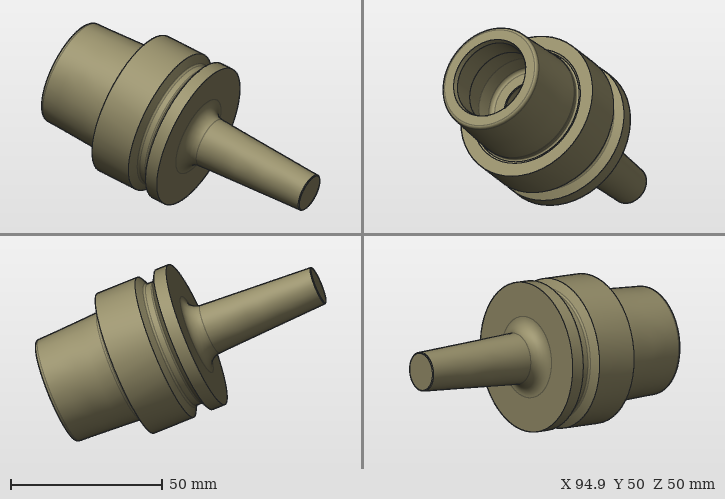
import cadquery as cq
import math

total_length = 94.9

taper_mouth_radius = 18.1
taper_base_radius = 38.4 / 2
taper_end = 23.0
mouth_round = 1.0

neck_radius = 19.1
neck_step_end = 23.6
neck_step_round = 0.6
neck_root_round = 0.7

flange_radius = 50.0 / 2
flange_start = 25.1
flange_end = 50.8

recess_depth = 0.3
recess_mouth_radius = 20.4

groove_floor_radius = 21.7
groove_floor_start = 41.4
groove_floor_end = 44.4
groove_wall_angle = 60.0
groove_corner_round = 0.9

nose_root_radius = 8.5
nose_taper_angle = 3.0
nose_blend = 5.0
nose_tip_chamfer = 0.3

bore_mouth_radius = 13.7
bore_lip_radius = 13.1
bore_lip_chamfer = 1.6
bore_lip_end = 9.9
relief_radius = 14.5
relief_shoulder_angle = 60.0
relief_end = 18.7
bore_tail_angle = 13.0
bore_depth = 24.7
bore_floor_round = 1.5

pilot_radius = 8.0
pilot_mouth_chamfer = 0.3
pilot_floor_radius = 7.1
pilot_length = 9.5


def polar(center, radius, angle):
    """Point on a circle, with the angle in degrees from +X."""
    return (
        center[0] + radius * math.cos(math.radians(angle)),
        center[1] + radius * math.sin(math.radians(angle)),
    )


def revolve_about_x(profile):
    """Close an XY profile and turn it a full revolution about the X axis."""
    return profile.close().revolve(360, (0, 0, 0), (1, 0, 0))


def make_taper_and_neck():
    """Taper with a rounded mouth, stepping down to a neck that flares at the recess floor."""
    mouth_center = (mouth_round, taper_mouth_radius - mouth_round)
    root_end = flange_start + recess_depth
    root_center = (root_end - neck_root_round, neck_radius + neck_root_round)
    outside = revolve_about_x(
        cq.Workplane("XY")
        .lineTo(*polar(mouth_center, mouth_round, 180))
        .threePointArc(
            polar(mouth_center, mouth_round, 135),
            polar(mouth_center, mouth_round, 90),
        )
        .lineTo(taper_end, taper_base_radius)
        .lineTo(neck_step_end, neck_radius)
        .lineTo(*polar(root_center, neck_root_round, -90))
        .threePointArc(
            polar(root_center, neck_root_round, -45),
            polar(root_center, neck_root_round, 0),
        )
        .lineTo(root_end, 0)
    )
    step_corner = cq.selectors.NearestToPointSelector((neck_step_end, 0, 0))
    return outside.edges("%CIRCLE").edges(step_corner).fillet(neck_step_round)


def make_flange():
    """Flange disc with a shallow flared recess in the face towards the taper."""
    recess_end = flange_start + recess_depth
    return revolve_about_x(
        cq.Workplane("XY")
        .moveTo(recess_end, 0)
        .lineTo(recess_end, neck_radius + neck_root_round)
        .lineTo(flange_start, recess_mouth_radius)
        .lineTo(flange_start, flange_radius)
        .lineTo(flange_end, flange_radius)
        .lineTo(flange_end, 0)
    )


def make_gripper_groove():
    """V-sided ring to cut from the flange rim, with rounded floor corners."""
    wall_height = flange_radius - groove_floor_radius
    wall_run = wall_height / math.tan(math.radians(groove_wall_angle))
    ring = revolve_about_x(
        cq.Workplane("XY")
        .moveTo(groove_floor_start, groove_floor_radius)
        .lineTo(groove_floor_start - wall_run, flange_radius)
        .lineTo(groove_floor_end + wall_run, flange_radius)
        .lineTo(groove_floor_end, groove_floor_radius)
    )
    floor_corners = cq.selectors.RadiusNthSelector(0)
    return ring.edges(floor_corners).fillet(groove_corner_round)


def make_nose():
    """Slim cone with a concave blend into the flange and a chamfered tip."""
    cone_tangent_angle = -90 - nose_taper_angle
    taper_angle = math.radians(nose_taper_angle)
    blend_center = (
        flange_end + nose_blend,
        nose_root_radius + nose_blend * math.cos(taper_angle),
    )
    cone_start = polar(blend_center, nose_blend, cone_tangent_angle)
    tip_radius = nose_root_radius - (total_length - cone_start[0]) * math.tan(taper_angle)
    nose = revolve_about_x(
        cq.Workplane("XY")
        .moveTo(flange_end, 0)
        .lineTo(*polar(blend_center, nose_blend, -180))
        .threePointArc(
            polar(blend_center, nose_blend, (cone_tangent_angle - 180) / 2),
            cone_start,
        )
        .lineTo(total_length, tip_radius)
        .lineTo(total_length, 0)
    )
    return nose.faces(">X").chamfer(nose_tip_chamfer)


def make_bore():
    """Chamfered lip, wider relief behind it, and a tail narrowing to a rounded flat floor."""
    shoulder_height = relief_radius - bore_lip_radius
    shoulder_run = shoulder_height / math.tan(math.radians(relief_shoulder_angle))
    tail_run = bore_depth - relief_end
    floor_radius = relief_radius - tail_run * math.tan(math.radians(bore_tail_angle))
    bore = revolve_about_x(
        cq.Workplane("XY")
        .lineTo(0, bore_mouth_radius)
        .lineTo(bore_lip_chamfer, bore_lip_radius)
        .lineTo(bore_lip_end, bore_lip_radius)
        .lineTo(bore_lip_end + shoulder_run, relief_radius)
        .lineTo(relief_end, relief_radius)
        .lineTo(bore_depth, floor_radius)
        .lineTo(bore_depth, 0)
    )
    return bore.faces(">X").edges().fillet(bore_floor_round)


def make_pilot_hole():
    """Blind hole with a chamfered mouth and a bevelled floor corner."""
    pilot_end = bore_depth + pilot_length
    floor_bevel = pilot_radius - pilot_floor_radius
    return revolve_about_x(
        cq.Workplane("XY")
        .moveTo(bore_depth, 0)
        .lineTo(bore_depth, pilot_radius + pilot_mouth_chamfer)
        .lineTo(bore_depth + pilot_mouth_chamfer, pilot_radius)
        .lineTo(pilot_end - floor_bevel, pilot_radius)
        .lineTo(pilot_end, pilot_floor_radius)
        .lineTo(pilot_end, 0)
    )


flange = make_flange().cut(make_gripper_groove())
solid_body = flange.union(make_taper_and_neck()).union(make_nose())
result = solid_body.cut(make_bore()).cut(make_pilot_hole())